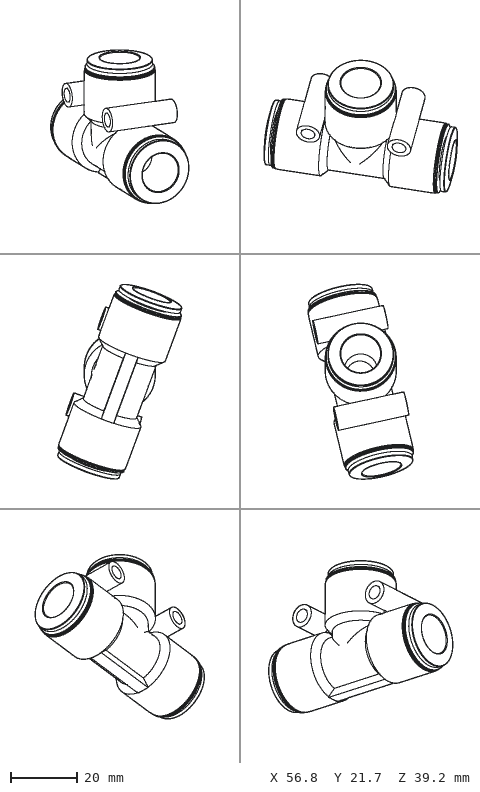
import cadquery as cq
import math

ARM_LENGTH = 56.8 / 2
BODY_RADIUS = 21.5 / 2
NECK_RADIUS = 8.6
SOCKET_START = BODY_RADIUS
NECK_END = NECK_RADIUS
SOCKET_END = 24.5
TAPER_START = 23.45
MOUTH_RADIUS = 10.7

GUIDE_RADIUS = 21.1 / 2
GUIDE_END = 25.5
GUIDE_EDGE = 0.15
GROOVE_START = 24.83
GROOVE_END = 24.99
GROOVE_RADIUS = GUIDE_RADIUS - 0.1

COLLET_NECK_RADIUS = 13.4 / 2
FLARE_START = 26.05
FLARE_RADIUS = 6.8
FLANGE_RADIUS = 19.8 / 2
FLANGE_START = 26.4
FLANGE_EDGE = 27.55
FLANGE_CHAMFER_WIDTH = 0.15
FLANGE_CHAMFER_HEIGHT = 0.2
LIP_RADIUS = 6.25

TUBE_RADIUS = 12.0 / 2
BORE_RADIUS = 10.0 / 2
LIP_CHAMFER = LIP_RADIUS - TUBE_RADIUS
STOP_POSITION = 12.0
STOP_FILLET = 0.8

LUG_RADIUS = 7.2 / 2
LUG_HOLE_RADIUS = 4.2 / 2
LUG_LENGTH = 21.7
LUG_OFFSET = 14.0
WEB_THICKNESS = 4.0

ARM_ANGLES = (-90, 0, 90)


def place_on_arm(shape, angle):
    return shape.rotate((0, 0, 0), (0, 1, 0), angle)


def arm_outside():
    """Neck, cone, socket, guide ring and collet of the +Z arm."""
    outline = [
        (0, 0),
        (NECK_RADIUS, 0),
        (NECK_RADIUS, NECK_END),
        (BODY_RADIUS, SOCKET_START),
        (BODY_RADIUS, TAPER_START),
        (MOUTH_RADIUS, SOCKET_END),
        (GUIDE_RADIUS, SOCKET_END),
        (GUIDE_RADIUS, GROOVE_START),
        (GROOVE_RADIUS, GROOVE_START),
        (GROOVE_RADIUS, GROOVE_END),
        (GUIDE_RADIUS, GROOVE_END),
        (GUIDE_RADIUS, GUIDE_END - GUIDE_EDGE),
        (GUIDE_RADIUS - GUIDE_EDGE, GUIDE_END),
        (COLLET_NECK_RADIUS, GUIDE_END),
        (COLLET_NECK_RADIUS, FLARE_START),
        (FLARE_RADIUS, FLANGE_START),
        (FLANGE_RADIUS, FLANGE_START),
        (FLANGE_RADIUS, FLANGE_EDGE),
        (FLANGE_RADIUS - FLANGE_CHAMFER_WIDTH, FLANGE_EDGE + FLANGE_CHAMFER_HEIGHT),
        (LIP_RADIUS, ARM_LENGTH),
        (0, ARM_LENGTH),
    ]
    profile = cq.Workplane("XZ").polyline(outline).close()
    return profile.revolve(360, (0, 0, 0), (0, 1, 0))


def arm_passage():
    """Bore, filleted tube stop, tube socket and lip chamfer of the +Z arm."""
    shoulder_edge = TUBE_RADIUS - STOP_FILLET
    fillet_middle = STOP_FILLET * math.sqrt(0.5)
    profile = (
        cq.Workplane("XZ")
        .moveTo(0, 0)
        .lineTo(BORE_RADIUS, 0)
        .lineTo(BORE_RADIUS, STOP_POSITION)
        .lineTo(shoulder_edge, STOP_POSITION)
        .threePointArc(
            (shoulder_edge + fillet_middle, STOP_POSITION + STOP_FILLET - fillet_middle),
            (TUBE_RADIUS, STOP_POSITION + STOP_FILLET),
        )
        .lineTo(TUBE_RADIUS, ARM_LENGTH - LIP_CHAMFER)
        .lineTo(LIP_RADIUS, ARM_LENGTH)
        .lineTo(0, ARM_LENGTH)
        .close()
    )
    return profile.revolve(360, (0, 0, 0), (0, 1, 0))


def run_underside_web():
    """Flat web bridging the gap between the two sockets, below the neck."""
    return (
        cq.Workplane("XY")
        .box(2 * SOCKET_START, WEB_THICKNESS, BODY_RADIUS, centered=(True, True, False))
        .translate((0, 0, -BODY_RADIUS))
    )


def lug_rod(side, radius):
    """Cylinder along Y on the axis of the lug at the given X side."""
    return (
        cq.Workplane("XZ", origin=(side * LUG_OFFSET, LUG_LENGTH / 2, LUG_OFFSET))
        .circle(radius)
        .extrude(LUG_LENGTH)
    )


def lug_web(side):
    """Web filling the corner between a lug and the two sockets beside it."""
    middle = (LUG_OFFSET + NECK_END) / 2
    size = LUG_OFFSET - NECK_END
    return cq.Workplane("XY").box(size, WEB_THICKNESS, size).translate((side * middle, 0, middle))


body = run_underside_web()
for arm_angle in ARM_ANGLES:
    body = body.union(place_on_arm(arm_outside(), arm_angle))
for lug_side in (-1, 1):
    body = body.union(lug_rod(lug_side, LUG_RADIUS)).union(lug_web(lug_side))

for arm_angle in ARM_ANGLES:
    body = body.cut(place_on_arm(arm_passage(), arm_angle))
for lug_side in (-1, 1):
    body = body.cut(lug_rod(lug_side, LUG_HOLE_RADIUS))

result = body